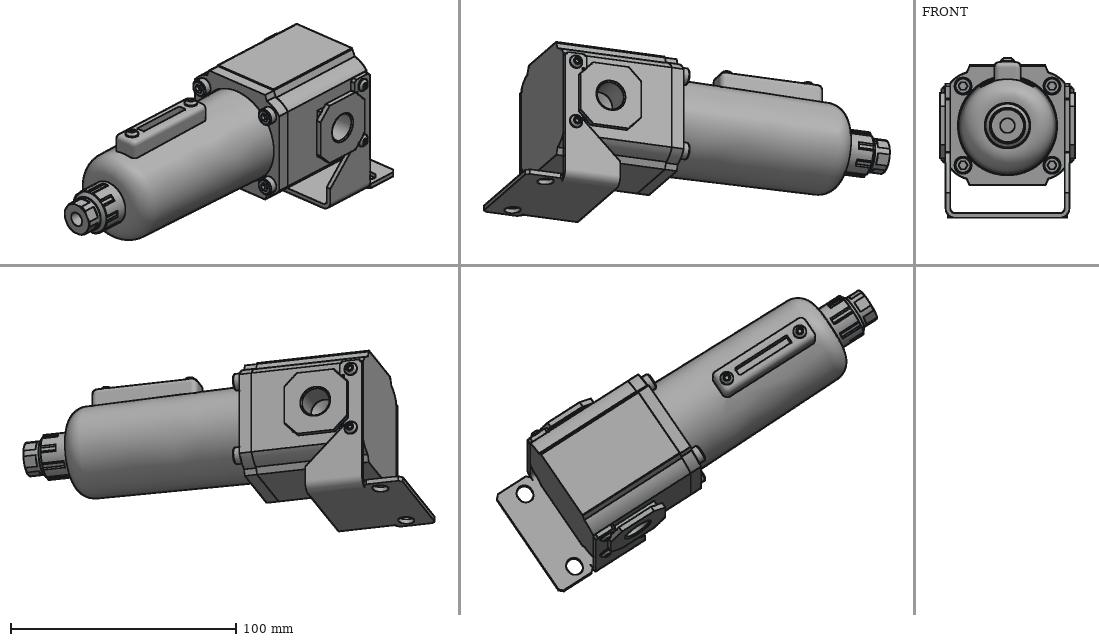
import cadquery as cq
import math


half_width = 25.4
half_height = 26.5
housing_length = 51.8
flange_thickness = 5.6
flange_front = housing_length + flange_thickness
shoulder_height = 18.8
corner_arc_sag = 0.7
ridge_half_width = 16.8
housing_arc_end = (18.3, 23.4)
flange_arc_end = (18.0, 23.7)
pad_half_width = 16.7
pad_thickness = 0.5

sheet = 2.2
bracket_outer = half_width + sheet
bracket_bottom = -41.0
bend_radius = 4.3
bracket_length = 26.3
tab_length = 10.3
tab_top = 18.7
tab_bottom = 12.1
tab_chamfer = 1.3
arm_length = 8.3
arm_slope_top = -12.0
arm_slope_bottom = -29.7
foot_length = 18.1
foot_half_width = 26.5
foot_chamfer = 1.6
foot_neck_half_width = foot_half_width - foot_chamfer
foot_hole_x = 20.0
foot_hole_y = 6.3
foot_hole_length = 8.0
foot_hole_width = 6.9

port_y = -20.8
port_neck_size = 23.2
port_plate_size = 29.0
port_plate_chamfer = 6.0
port_face_span = 60.0
port_face = port_face_span / 2
port_radius = 6.3
port_rim_chamfer = 0.63
port_depth = 14.5
drill_tip_angle = 118.0

cap_screw_x = 19.7
cap_screw_z = 17.5
cap_radius = 3.8
cap_height = 3.8
cap_chamfer = 0.5
cap_socket_size = 4.0
cap_socket_depth = 1.8

bracket_screw_y = -5.0
bracket_screw_heights = (14.5, -13.5)
button_radius = 2.9
button_top_radius = 1.6
button_height = 1.8
button_rim = 0.5
button_socket_size = 2.4
button_socket_depth = 0.9

bowl_root_radius = 21.7
bowl_end_radius = 20.6
bowl_taper_end = -133.1
bowl_end = -142.0
spigot_clearance = 0.4

cover_half_width = 6.0
cover_rear = -83.1
cover_front = -132.0
cover_top = 28.3
cover_corner_radius = 2.5
cover_top_radius = 2.4
window_half_width = 2.0
window_rear = -93.3
window_front = -121.0
window_depth = 4.5
window_corner = 0.9
cover_screw_places = (-87.8, -126.5)

knob_radius = 10.1
knob_body_end = -154.1
knob_cone_end = -155.7
knob_cone_radius = 8.0
nut_radius = 7.6
nut_flat_depth = 0.45
nut_flat_distance = nut_radius - nut_flat_depth
nut_flat_start = -157.2
nut_turn = 30.0
drain_end = -163.0
nut_chamfer = 0.4
drain_hole_radius = 3.3
drain_hole_depth = 10.9
groove_count = 8
groove_outer_width = 4.0
groove_floor_width = 1.6
groove_depth = 0.45
groove_floor_radius = knob_radius - groove_depth
long_groove_start = -144.0
short_groove_start = -147.0
long_grooves = (90, 135, 270, 315)


def front_plane(y):
    """Sketch plane at y whose normal points to -Y; local x is X and local y is Z."""
    return cq.Workplane("XZ", origin=(0, y, 0))


def side_plane(x):
    """Sketch plane at x whose normal points to +X; local x is Y and local y is Z."""
    return cq.Workplane("YZ", origin=(x, 0, 0))


def arc_middle(start, end, sag):
    """Middle point of an arc that bulges away from the origin by the given sag."""
    run = end[0] - start[0]
    rise = end[1] - start[1]
    chord = math.hypot(run, rise)
    middle_x = (start[0] + end[0]) / 2 + sag * abs(rise) / chord
    middle_z = (start[1] + end[1]) / 2 + sag * abs(run) / chord
    return middle_x, middle_z


def cross_section(y, length, arc_end):
    """Block with the rounded-shoulder section, extruded towards -Y."""
    shoulder = (half_width, shoulder_height)
    middle = arc_middle(shoulder, arc_end, corner_arc_sag)
    quarter = (
        front_plane(y)
        .lineTo(half_width, 0)
        .lineTo(*shoulder)
        .threePointArc(middle, arc_end)
        .lineTo(ridge_half_width, half_height)
        .lineTo(0, half_height)
        .close()
        .extrude(length)
    )
    upper_half = quarter.union(quarter.mirror("YZ"))
    return upper_half.union(upper_half.mirror("XY")).clean()


def port_boss():
    """Square neck and chamfered plate on the +X side."""
    neck = (
        side_plane(half_width)
        .center(port_y, 0)
        .rect(port_neck_size, port_neck_size)
        .extrude(sheet)
    )
    plate = (
        side_plane(bracket_outer)
        .center(port_y, 0)
        .rect(port_plate_size, port_plate_size)
        .extrude(port_face - bracket_outer)
        .edges("|X")
        .chamfer(port_plate_chamfer)
    )
    return neck.union(plate)


def port_bore():
    """Blind bore with a chamfered rim and a drill-point bottom, entering from +X."""
    tip_length = port_radius / math.tan(math.radians(drill_tip_angle / 2))
    bore_end = port_face - port_depth
    return (
        cq.Workplane("XY", origin=(0, port_y, 0))
        .moveTo(port_face, 0)
        .lineTo(port_face, port_radius + port_rim_chamfer)
        .lineTo(port_face - port_rim_chamfer, port_radius)
        .lineTo(bore_end, port_radius)
        .lineTo(bore_end - tip_length, 0)
        .close()
        .revolve(360, (0, 0, 0), (1, 0, 0))
    )


def make_housing():
    pad = (
        cq.Workplane("XY", origin=(0, -housing_length / 2, half_height))
        .rect(2 * pad_half_width, housing_length)
        .extrude(pad_thickness)
    )
    boss = port_boss()
    bore = port_bore()
    return (
        cross_section(0, housing_length, housing_arc_end)
        .union(pad)
        .union(boss)
        .union(boss.mirror("YZ"))
        .cut(bore)
        .cut(bore.mirror("YZ"))
    )


def make_flange():
    """Clamping flange with the four socket heads and a clearance hole for the bowl."""
    places = [(x, z) for x in (-cap_screw_x, cap_screw_x) for z in (-cap_screw_z, cap_screw_z)]
    heads = (
        front_plane(-flange_front)
        .pushPoints(places)
        .circle(cap_radius)
        .extrude(cap_height)
        .faces("<Y")
        .edges()
        .chamfer(cap_chamfer)
    )
    sockets = (
        front_plane(-flange_front - cap_height)
        .pushPoints(places)
        .polygon(6, cap_socket_size)
        .extrude(-cap_socket_depth)
    )
    bowl_hole = (
        front_plane(-housing_length)
        .circle(bowl_root_radius + spigot_clearance)
        .extrude(flange_thickness)
    )
    return (
        cross_section(-housing_length, flange_thickness, flange_arc_end)
        .cut(bowl_hole)
        .union(heads)
        .cut(sockets)
    )


def bracket_side_cutter():
    """Everything of the side walls in front of their sloped edge and below the ears."""
    return (
        side_plane(-port_face)
        .moveTo(-arm_length, arm_slope_top)
        .lineTo(-arm_length, tab_bottom)
        .lineTo(-tab_length, tab_bottom)
        .lineTo(-tab_length, tab_top)
        .lineTo(-bracket_length, tab_top)
        .lineTo(-bracket_length, arm_slope_bottom)
        .close()
        .extrude(port_face_span)
    )


def bracket_foot():
    """Mounting foot behind the housing, necked where it joins the bracket floor."""
    right_edge = [
        (foot_neck_half_width, 0),
        (foot_half_width, foot_chamfer),
        (foot_half_width, foot_length - foot_chamfer),
        (foot_half_width - foot_chamfer, foot_length),
    ]
    left_edge = [(-x, y) for x, y in reversed(right_edge)]
    holes = (
        cq.Workplane("XY", origin=(0, 0, bracket_bottom))
        .pushPoints([(-foot_hole_x, foot_hole_y), (foot_hole_x, foot_hole_y)])
        .slot2D(foot_hole_length, foot_hole_width)
        .extrude(sheet)
    )
    return (
        cq.Workplane("XY", origin=(0, 0, bracket_bottom))
        .polyline(right_edge + left_edge)
        .close()
        .extrude(sheet)
        .cut(holes)
    )


def make_bracket():
    height = tab_top - bracket_bottom
    channel = (
        front_plane(0)
        .center(0, bracket_bottom + height / 2)
        .rect(2 * bracket_outer, height)
        .extrude(bracket_length)
        .edges("|Y and <Z")
        .fillet(bend_radius)
    )
    inside = (
        front_plane(0)
        .center(0, bracket_bottom + sheet + height / 2)
        .rect(2 * half_width, height)
        .extrude(bracket_length)
        .edges("|Y and <Z")
        .fillet(bend_radius - sheet)
    )
    walls = channel.cut(inside).cut(bracket_side_cutter())
    walls = walls.faces(">Z").edges("|X").chamfer(tab_chamfer)
    return walls.union(bracket_foot())


def button_head():
    """Tapered head with a hexagon socket, seated on Z = 0."""
    head = (
        cq.Workplane("XZ")
        .lineTo(button_radius, 0)
        .lineTo(button_radius, button_rim)
        .lineTo(button_top_radius, button_height)
        .lineTo(0, button_height)
        .close()
        .revolve(360, (0, 0, 0), (0, 1, 0))
    )
    socket = (
        cq.Workplane("XY", origin=(0, 0, button_height))
        .polygon(6, button_socket_size)
        .extrude(-button_socket_depth)
    )
    return head.cut(socket)


def make_bracket_screws():
    """Four button heads on the outer faces of the bracket walls."""
    head = button_head()
    screws = []
    for side in (-1, 1):
        turned = head.rotate((0, 0, 0), (0, 1, 0), side * 90)
        for z in bracket_screw_heights:
            screws.append(turned.translate((side * bracket_outer, bracket_screw_y, z)))
    return screws


def gauge_cover():
    """Rounded cover with a window recess and two button heads."""
    length = cover_rear - cover_front
    cover = (
        cq.Workplane("XY", origin=(0, (cover_rear + cover_front) / 2, 0))
        .rect(2 * cover_half_width, length)
        .extrude(cover_top)
        .edges("|Z")
        .fillet(cover_corner_radius)
        .faces(">Z")
        .edges()
        .fillet(cover_top_radius)
    )
    window = (
        cq.Workplane("XY", origin=(0, (window_rear + window_front) / 2, cover_top))
        .rect(2 * window_half_width, window_rear - window_front)
        .extrude(-window_depth)
        .edges("|Z and >Y")
        .fillet(window_corner)
    )
    cover = cover.cut(window)
    for y in cover_screw_places:
        cover = cover.union(button_head().translate((0, y, cover_top)))
    return cover


def make_bowl():
    """Tapered bowl with a rounded end, its spigot in the flange, and the gauge cover."""
    fillet = bowl_taper_end - bowl_end
    flat_radius = bowl_end_radius - fillet
    bulge = fillet * math.sqrt(0.5)
    shell = (
        cq.Workplane("XY")
        .moveTo(0, -housing_length)
        .lineTo(bowl_root_radius, -housing_length)
        .lineTo(bowl_root_radius, -flange_front)
        .lineTo(bowl_end_radius, bowl_taper_end)
        .threePointArc(
            (flat_radius + bulge, bowl_taper_end - bulge),
            (flat_radius, bowl_end),
        )
        .lineTo(0, bowl_end)
        .close()
        .revolve(360, (0, 0, 0), (0, 1, 0))
    )
    return shell.union(gauge_cover())


def knob_groove(angle):
    """Cutter for one tapered-wall groove of the knob; 90 degrees is straight up."""
    start = long_groove_start if angle in long_grooves else short_groove_start
    return (
        front_plane(start)
        .polyline([
            (-groove_floor_width / 2, groove_floor_radius),
            (groove_floor_width / 2, groove_floor_radius),
            (groove_outer_width / 2, knob_radius),
            (-groove_outer_width / 2, knob_radius),
        ])
        .close()
        .extrude(start - knob_body_end)
        .rotate((0, 0, 0), (0, 1, 0), 90 - angle)
    )


def nut_flats():
    """Cutter that leaves six flats on the round end of the drain."""
    length = nut_flat_start - drain_end
    hexagon = (
        front_plane(nut_flat_start)
        .polygon(6, 2 * nut_flat_distance, circumscribed=True)
        .extrude(length)
        .rotate((0, 0, 0), (0, 1, 0), nut_turn)
    )
    return front_plane(nut_flat_start).circle(knob_radius).extrude(length).cut(hexagon)


def make_drain():
    body = (
        cq.Workplane("XY")
        .moveTo(0, bowl_end)
        .lineTo(knob_radius, bowl_end)
        .lineTo(knob_radius, knob_body_end)
        .lineTo(groove_floor_radius, knob_body_end)
        .lineTo(knob_cone_radius, knob_cone_end)
        .lineTo(nut_radius, knob_cone_end)
        .lineTo(nut_radius, drain_end + nut_chamfer)
        .lineTo(nut_radius - nut_chamfer, drain_end)
        .lineTo(0, drain_end)
        .close()
        .revolve(360, (0, 0, 0), (0, 1, 0))
    )
    for index in range(groove_count):
        body = body.cut(knob_groove(index * 360 // groove_count))
    hole = front_plane(drain_end).circle(drain_hole_radius).extrude(-drain_hole_depth)
    return body.cut(nut_flats()).cut(hole)


housing = make_housing()
flange = make_flange()
bracket = make_bracket()
bracket_screws = make_bracket_screws()
bowl = make_bowl()
drain = make_drain()

result = cq.Compound.makeCompound([
    housing.val(),
    flange.val(),
    bracket.val(),
    *[screw.val() for screw in bracket_screws],
    bowl.val(),
    drain.val(),
])